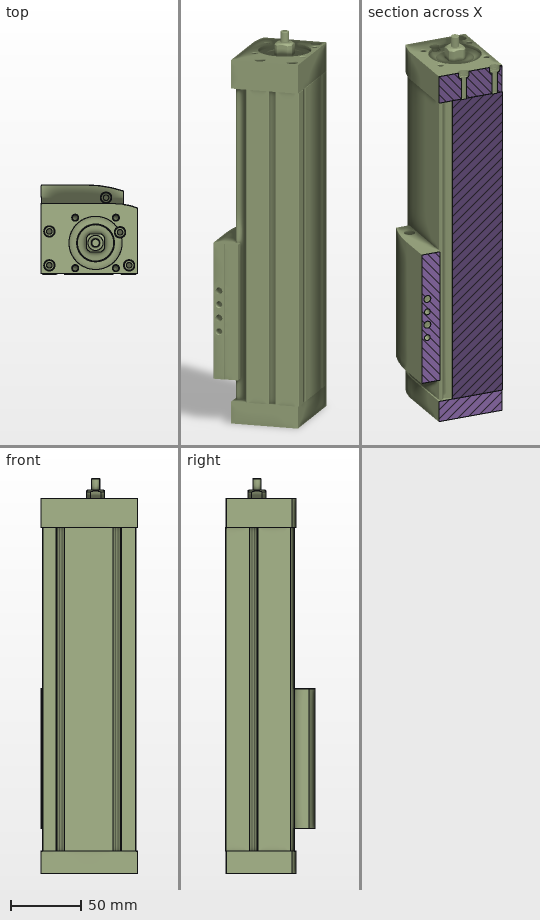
import cadquery as cq
import math

CAP_WIDTH = 69.0
CAP_FRONT_Y = 0.5
CAP_TOP_Y = 50.5
CAP_CORNER_Y = 47.5
CAP_ARC_START_X = 53.0
LOWER_CAP_LENGTH = 16.0
UPPER_CAP_BOTTOM_Z = 247.0
UPPER_CAP_TOP_Z = 268.0
UPPER_CAP_LENGTH = UPPER_CAP_TOP_Z - UPPER_CAP_BOTTOM_Z
TOTAL_LENGTH = 282.0

SHAFT_X = 39.0
SHAFT_Y = 22.5
RECESS_DIAMETER = 38.0
RECESS_DEPTH = 2.5
SEAT_DIAMETER = 26.0
SEAT_CHAMFER = 0.5
JOURNAL_DIAMETER = 8.0

MOUNT_SPACING_X = 29.0
MOUNT_SPACING_Y = 36.0
TAPPED_DIAMETER = 4.13
TAPPED_MOUTH_DIAMETER = 5.0
TAPPED_DEPTH = 10.0
DRILL_TIP_DEPTH = 1.2

SCREW_POSITIONS = [(6.0, 6.5), (63.0, 6.5), (6.0, 30.7), (56.5, 30.1)]
SCREW_HOLE_DIAMETER = 4.0
COUNTERBORE_DIAMETER = 8.0
COUNTERBORE_DEPTH = 3.5
COUNTERBORE_STEP_DIAMETER = 7.0
COUNTERBORE_STEP_DEPTH = 4.5

PROFILE_INSET = 1.0
PROFILE_TOP_Y = 49.3
PROFILE_LEFT_X = PROFILE_INSET
PROFILE_RIGHT_X = CAP_WIDTH - PROFILE_INSET
PROFILE_CORNER_CHAMFER = 0.5
PROFILE_CORNER_Y = CAP_CORNER_Y - PROFILE_INSET
RAIL_OUTLINE = [
    (8.5, PROFILE_TOP_Y),
    (7.7, 48.4),
    (7.7, 47.4),
    (8.2, 46.6),
    (10.0, 45.0),
    (10.0, 44.2),
    (8.5, 41.6),
    (8.5, 39.9),
    (1.6, 39.9),
    (PROFILE_LEFT_X, 39.0),
    (PROFILE_LEFT_X, 38.0),
]

SLOT_WIDTH = 5.2
SLOT_FLOOR_WIDTH = 1.8
SLOT_WALL_DEPTH = 3.2
SLOT_DEPTH = 3.7
SLOT_LIP = 0.7
FRONT_SLOT_CENTERS_X = (14.2, 54.2)
SIDE_SLOT_CENTER_Y = 19.9

CARRIAGE_BOTTOM_Z = 32.0
CARRIAGE_LENGTH = 100.0
CARRIAGE_WIDTH = 59.0
CARRIAGE_TOP_Y = 64.0
CARRIAGE_CORNER_Y = 59.6
CARRIAGE_ARC_START_X = 32.0
CARRIAGE_EDGE_CHAMFER = 0.8
CARRIAGE_STEP_Y = 55.2
CARRIAGE_STEP = 0.3
CARRIAGE_LEG_BOTTOM_Y = 45.3
CARRIAGE_LEG_WIDTH = 6.5
CARRIAGE_SCREW_POSITION = (46.5, 54.8)
CARRIAGE_SCREW_DEPTH = 12.0
SIDE_HOLE_Y = 59.5
SIDE_HOLE_SPACING = 10.0
SIDE_HOLE_COUNT = 4
SIDE_HOLE_DIAMETER = 5.0
SIDE_HOLE_DEPTH = 8.0

NUT_WIDTH = 13.0
NUT_CORNER_DIAMETER = 15.0
NUT_TOP_DIAMETER = 10.8
NUT_CHAMFER_HEIGHT = 1.4
NUT_TOP_Z = 274.0
PIN_DIAMETER = 6.0
PIN_CHAMFER = 0.3


def cylinder(diameter, start, direction, length):
    solid = cq.Solid.makeCylinder(diameter / 2, length, cq.Vector(*start), cq.Vector(*direction))
    return cq.Workplane(solid)


def cone(start_diameter, end_diameter, start, direction, length):
    axis = cq.Vector(*direction)
    solid = cq.Solid.makeCone(start_diameter / 2, end_diameter / 2, length, cq.Vector(*start), axis)
    return cq.Workplane(solid)


def along(start, direction, distance):
    """Point reached by moving from start along a unit direction."""
    return tuple(s + d * distance for s, d in zip(start, direction))


def tapped_hole(mouth, direction):
    """Cutter for a blind hole with a conical bottom and a chamfered mouth."""
    chamfer = (TAPPED_MOUTH_DIAMETER - TAPPED_DIAMETER) / 2
    bore = cylinder(TAPPED_DIAMETER, mouth, direction, TAPPED_DEPTH)
    tip = cone(TAPPED_DIAMETER, 0, along(mouth, direction, TAPPED_DEPTH), direction, DRILL_TIP_DEPTH)
    entry = cone(TAPPED_MOUTH_DIAMETER, TAPPED_DIAMETER, mouth, direction, chamfer)
    return bore.union(tip).union(entry)


def counterbored_hole(x, y, top_z, length):
    """Cutter for a screw hole whose stepped counterbore opens upward at top_z."""
    down = (0, 0, -1)
    head = cylinder(COUNTERBORE_DIAMETER, (x, y, top_z), down, COUNTERBORE_DEPTH)
    step = cylinder(COUNTERBORE_STEP_DIAMETER, (x, y, top_z), down, COUNTERBORE_STEP_DEPTH)
    return head.union(step).union(cylinder(SCREW_HOLE_DIAMETER, (x, y, top_z), down, length))


def crowned_outline(outline, flat_end_x, flat_y, corner_x, corner_y):
    """Draw from the right-hand corner up an arc that runs tangent into the flat top."""
    run = corner_x - flat_end_x
    drop = flat_y - corner_y
    radius = (run**2 + drop**2) / (2 * drop)
    middle_x = flat_end_x + run / 2
    middle_y = flat_y - radius + math.sqrt(radius**2 - (run / 2) ** 2)
    return outline.lineTo(corner_x, corner_y).threePointArc((middle_x, middle_y), (flat_end_x, flat_y))


def end_cap(bottom_z, length):
    plane = cq.Workplane("XY", origin=(0, 0, bottom_z))
    outline = plane.moveTo(0, CAP_FRONT_Y).lineTo(CAP_WIDTH, CAP_FRONT_Y)
    outline = crowned_outline(outline, CAP_ARC_START_X, CAP_TOP_Y, CAP_WIDTH, CAP_CORNER_Y)
    return outline.lineTo(0, CAP_TOP_Y).close().extrude(length)


def upper_end_cap():
    down = (0, 0, -1)
    cap = end_cap(UPPER_CAP_BOTTOM_Z, UPPER_CAP_LENGTH)
    cap = cap.cut(cylinder(RECESS_DIAMETER, (SHAFT_X, SHAFT_Y, UPPER_CAP_TOP_Z), down, RECESS_DEPTH))
    seat_mouth = SEAT_DIAMETER + 2 * SEAT_CHAMFER
    recess_floor = (SHAFT_X, SHAFT_Y, UPPER_CAP_TOP_Z - RECESS_DEPTH)
    cap = cap.cut(cone(seat_mouth, SEAT_DIAMETER, recess_floor, down, SEAT_CHAMFER))
    cap = cap.cut(cylinder(JOURNAL_DIAMETER, (SHAFT_X, SHAFT_Y, UPPER_CAP_TOP_Z), down, UPPER_CAP_LENGTH))
    for side_x in (-1, 1):
        for side_y in (-1, 1):
            x = SHAFT_X + side_x * MOUNT_SPACING_X / 2
            y = SHAFT_Y + side_y * MOUNT_SPACING_Y / 2
            cap = cap.cut(tapped_hole((x, y, UPPER_CAP_TOP_Z), down))
    for x, y in SCREW_POSITIONS:
        cap = cap.cut(counterbored_hole(x, y, UPPER_CAP_TOP_Z, UPPER_CAP_LENGTH))
    return cap


def slot_section(to_point):
    """Slot section: to_point maps (offset across the slot, depth) to a point in XY.

    A small sloping lip widens the mouth on the negative-offset side.
    """
    half_mouth = SLOT_WIDTH / 2
    half_floor = SLOT_FLOOR_WIDTH / 2
    section = [
        (-half_mouth - SLOT_LIP, 0),
        (-half_mouth, SLOT_LIP),
        (-half_mouth, SLOT_WALL_DEPTH),
        (-half_floor, SLOT_DEPTH),
        (half_floor, SLOT_DEPTH),
        (half_mouth, SLOT_WALL_DEPTH),
        (half_mouth, 0),
    ]
    return [to_point(offset, depth) for offset, depth in section]


def extrusion():
    length = UPPER_CAP_BOTTOM_Z - LOWER_CAP_LENGTH
    plane = cq.Workplane("XY", origin=(0, 0, LOWER_CAP_LENGTH))
    outline = plane.moveTo(PROFILE_LEFT_X, PROFILE_CORNER_CHAMFER)
    outline = outline.lineTo(PROFILE_LEFT_X + PROFILE_CORNER_CHAMFER, 0)
    outline = outline.lineTo(PROFILE_RIGHT_X - PROFILE_CORNER_CHAMFER, 0)
    outline = outline.lineTo(PROFILE_RIGHT_X, PROFILE_CORNER_CHAMFER)
    outline = crowned_outline(outline, CAP_ARC_START_X, PROFILE_TOP_Y, PROFILE_RIGHT_X, PROFILE_CORNER_Y)
    for point in RAIL_OUTLINE:
        outline = outline.lineTo(*point)
    body = outline.close().extrude(length)

    left_x, right_x = FRONT_SLOT_CENTERS_X
    sections = [
        slot_section(lambda offset, depth: (left_x + offset, depth)),
        slot_section(lambda offset, depth: (right_x - offset, depth)),
        slot_section(lambda offset, depth: (PROFILE_LEFT_X + depth, SIDE_SLOT_CENTER_Y - offset)),
        slot_section(lambda offset, depth: (PROFILE_RIGHT_X - depth, SIDE_SLOT_CENTER_Y - offset)),
    ]
    for section in sections:
        body = body.cut(plane.polyline(section).close().extrude(length))
    return body


def carriage_body():
    outline = (
        cq.Workplane("XY", origin=(0, 0, CARRIAGE_BOTTOM_Z))
        .moveTo(CARRIAGE_STEP, CARRIAGE_LEG_BOTTOM_Y)
        .lineTo(CARRIAGE_LEG_WIDTH, CARRIAGE_LEG_BOTTOM_Y)
        .lineTo(CARRIAGE_LEG_WIDTH, PROFILE_TOP_Y)
        .lineTo(CARRIAGE_WIDTH, PROFILE_TOP_Y)
    )
    outline = crowned_outline(
        outline, CARRIAGE_ARC_START_X, CARRIAGE_TOP_Y, CARRIAGE_WIDTH, CARRIAGE_CORNER_Y
    )
    body = (
        outline.lineTo(CARRIAGE_EDGE_CHAMFER, CARRIAGE_TOP_Y)
        .lineTo(0, CARRIAGE_TOP_Y - CARRIAGE_EDGE_CHAMFER)
        .lineTo(0, CARRIAGE_STEP_Y)
        .lineTo(CARRIAGE_STEP, CARRIAGE_STEP_Y)
        .close()
        .extrude(CARRIAGE_LENGTH)
    )
    body = body.cut(
        counterbored_hole(
            *CARRIAGE_SCREW_POSITION, CARRIAGE_BOTTOM_Z + CARRIAGE_LENGTH, CARRIAGE_SCREW_DEPTH
        )
    )
    inward = (1, 0, 0)
    middle_z = CARRIAGE_BOTTOM_Z + CARRIAGE_LENGTH / 2
    for index in range(SIDE_HOLE_COUNT):
        z = middle_z + (index - (SIDE_HOLE_COUNT - 1) / 2) * SIDE_HOLE_SPACING
        mouth = (0, SIDE_HOLE_Y, z)
        if index % 2 == 0:
            body = body.cut(tapped_hole(mouth, inward))
        else:
            body = body.cut(cylinder(SIDE_HOLE_DIAMETER, mouth, inward, SIDE_HOLE_DEPTH))
    return body


def drive_shaft():
    up = (0, 0, 1)
    seat_z = UPPER_CAP_TOP_Z - RECESS_DEPTH - SEAT_CHAMFER
    journal_bottom = (SHAFT_X, SHAFT_Y, UPPER_CAP_BOTTOM_Z)
    journal = cylinder(JOURNAL_DIAMETER, journal_bottom, up, seat_z - UPPER_CAP_BOTTOM_Z)

    nut_base = (SHAFT_X, SHAFT_Y, seat_z)
    chamfer_z = NUT_TOP_Z - NUT_CHAMFER_HEIGHT
    nut = cq.Workplane("XY", origin=nut_base).rect(NUT_WIDTH, NUT_WIDTH).extrude(NUT_TOP_Z - seat_z)
    turned = cylinder(NUT_CORNER_DIAMETER, nut_base, up, chamfer_z - seat_z).union(
        cone(NUT_CORNER_DIAMETER, NUT_TOP_DIAMETER, (SHAFT_X, SHAFT_Y, chamfer_z), up, NUT_CHAMFER_HEIGHT)
    )
    nut = nut.intersect(turned)

    pin = cylinder(PIN_DIAMETER, (SHAFT_X, SHAFT_Y, NUT_TOP_Z), up, TOTAL_LENGTH - NUT_TOP_Z)
    pin = pin.faces(">Z").chamfer(PIN_CHAMFER)
    return journal.union(nut).union(pin)


lower_cap = end_cap(0, LOWER_CAP_LENGTH)
upper_cap = upper_end_cap()
profile = extrusion()
carriage = carriage_body()
shaft = drive_shaft()

result = cq.Compound.makeCompound(
    [lower_cap.val(), upper_cap.val(), profile.val(), carriage.val(), shaft.val()]
)